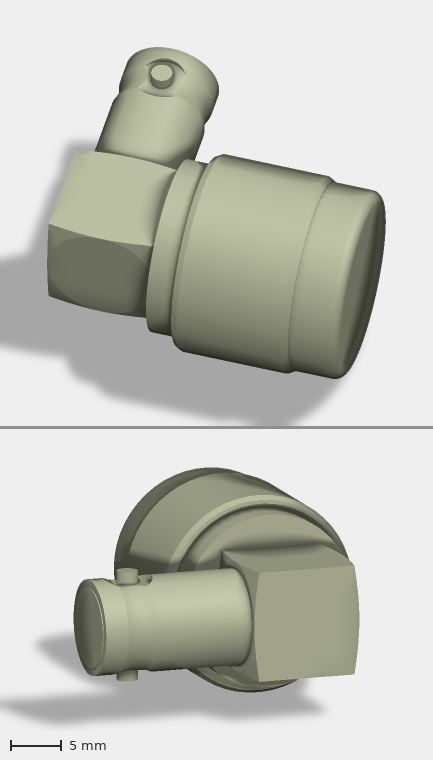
import cadquery as cq
import math


overall_length_y = 30.9
overall_length_x = 30.8
nut_diameter = 20.0

block_size = 11.03
block_half = block_size / 2
block_corner_drop = 0.53

shoulder_radius = 17.5 / 2
nut_radius = nut_diameter / 2
nut_start = 8.35
nut_length = 12.0
nut_end = nut_start + nut_length
nut_chamfer_length = 0.65
nut_chamfer_depth = nut_chamfer_length * math.tan(math.radians(30))
nut_mouth_radius = 18.48 / 2
nut_mouth_depth = nut_mouth_radius - shoulder_radius
sleeve_radius = 19.1 / 2
sleeve_end = overall_length_x - block_half
sleeve_end_fillet = 1.02

barrel_radius = 9.6 / 2
lip_radius = 8.1 / 2
lip_height = 0.1
lip_end = overall_length_y - nut_radius
barrel_end = lip_end - lip_height
groove_center = 16.9
groove_half_width = 1.5
groove_depth = 0.28

pin_radius = 2.1 / 2
pin_tip_height = block_half
pin_flat_radius = 5.0 / 2
pin_flat_height = 4.25


def make_block():
    """Cube whose two Y faces are turned to a shallow cone that leaves a full circle."""
    cube = cq.Workplane("XY").box(block_size, block_size, block_size)
    corner_radius = block_half * math.sqrt(2)
    shoulder_y = block_half - block_corner_drop
    turned_envelope = (
        cq.Workplane("XY")
        .moveTo(0, -block_half)
        .lineTo(block_half, -block_half)
        .lineTo(corner_radius, -shoulder_y)
        .lineTo(corner_radius, shoulder_y)
        .lineTo(block_half, block_half)
        .lineTo(0, block_half)
        .close()
        .revolve(360, (0, 0, 0), (0, 1, 0))
    )
    return cube.intersect(turned_envelope)


def make_coupling():
    """Shoulder, chamfered nut with a conical mouth, and round-ended sleeve."""
    fillet_mid = sleeve_end_fillet * math.sqrt(0.5)
    return (
        cq.Workplane("XY")
        .moveTo(block_half, 0)
        .lineTo(block_half, shoulder_radius)
        .lineTo(nut_start + nut_mouth_depth, shoulder_radius)
        .lineTo(nut_start, nut_mouth_radius)
        .lineTo(nut_start, nut_radius - nut_chamfer_depth)
        .lineTo(nut_start + nut_chamfer_length, nut_radius)
        .lineTo(nut_end - nut_chamfer_length, nut_radius)
        .lineTo(nut_end, nut_radius - nut_chamfer_depth)
        .lineTo(nut_end, sleeve_radius)
        .lineTo(sleeve_end - sleeve_end_fillet, sleeve_radius)
        .threePointArc(
            (
                sleeve_end - sleeve_end_fillet + fillet_mid,
                sleeve_radius - sleeve_end_fillet + fillet_mid,
            ),
            (sleeve_end, sleeve_radius - sleeve_end_fillet),
        )
        .lineTo(sleeve_end, 0)
        .close()
        .revolve(360, (0, 0, 0), (1, 0, 0))
    )


def make_barrel():
    """Round barrel with a shallow concave groove around it at the pins and a low lip on its end."""
    return (
        cq.Workplane("XY")
        .moveTo(0, block_half)
        .lineTo(barrel_radius, block_half)
        .lineTo(barrel_radius, groove_center - groove_half_width)
        .threePointArc(
            (barrel_radius - groove_depth, groove_center),
            (barrel_radius, groove_center + groove_half_width),
        )
        .lineTo(barrel_radius, barrel_end)
        .lineTo(lip_radius, barrel_end)
        .lineTo(lip_radius, lip_end)
        .lineTo(0, lip_end)
        .close()
        .revolve(360, (0, 0, 0), (0, 1, 0))
    )


def upright_cylinder(radius, bottom, top):
    """Vertical cylinder at the pin position."""
    return (
        cq.Workplane("XY", origin=(0, groove_center, bottom))
        .circle(radius)
        .extrude(top - bottom)
    )


def add_pins(barrel):
    """Cut the round flats above and below, then stand a pin on each."""
    for side in (1, -1):
        barrel = barrel.cut(
            upright_cylinder(pin_flat_radius, side * pin_flat_height, side * barrel_radius)
        )
    return barrel.union(upright_cylinder(pin_radius, -pin_tip_height, pin_tip_height))


result = make_block().union(make_coupling()).union(add_pins(make_barrel()))